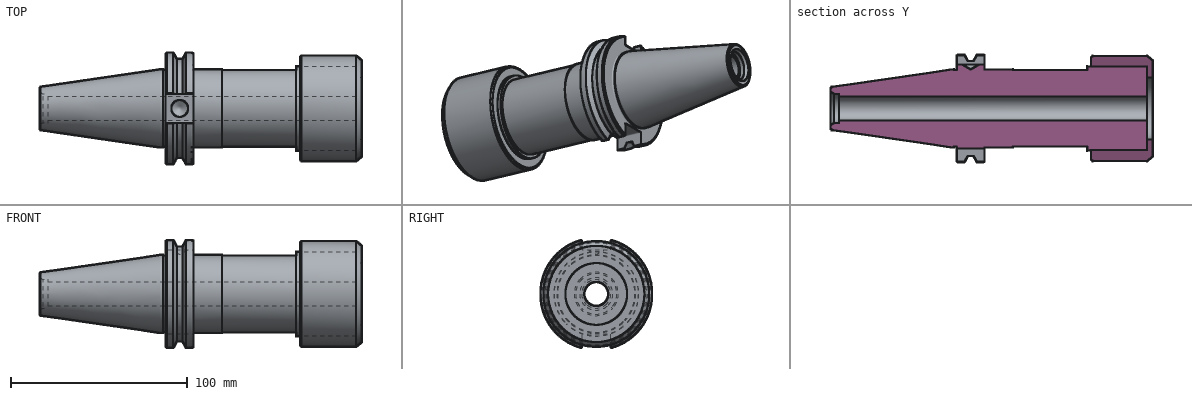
import cadquery as cq
import math


gauge_x = 68.25
gauge_diameter = 44.45
taper_ratio = 7 / 24
small_end_diameter = gauge_diameter - taper_ratio * gauge_x
small_end_chamfer = 0.7

undercut_x = gauge_x + 1.6
undercut_diameter = 43.6
undercut_fillet = 0.6

flange_x = gauge_x + 3.175
flange_end_x = gauge_x + 19.05
flange_diameter = 63.5
flange_chamfer = 0.8
flange_fillet = 1.3
groove_center_x = gauge_x + 11.1
groove_diameter = 56.4
groove_floor_width = 3.2
groove_flank_angle = 30

slot_width = 16.3
slot_edge_chamfer = 0.5
slot_floor_fillet = 0.6
upper_slot_floor_z = 25.0
lower_slot_floor_z = -22.7
dimple_diameter = 9.53
dimple_tip_angle = 120

shoulder_end_x = gauge_x + 35
body_diameter = 43.7
collar_x = 145.3
collar_diameter = 48
thread_diameter = 47.62

bore_diameter = 13.39
pilot_diameter = 16.3
pilot_depth = 4.8
mouth_diameter = 18.6
mouth_depth = 2.0

overall_length = 182.55
nut_x = 147.4
nut_diameter = 60
nut_rear_chamfer = 1.0
nut_front_chamfer_length = 3.3
nut_front_diameter = 54.5
nut_opening_diameter = 35
nut_lip_x = overall_length - nut_front_chamfer_length


def revolve_about_x(points):
    """Revolve a closed outline of (x, radius) points about the X axis."""
    return cq.Workplane("XY").polyline(points).close().revolve(360, (0, 0, 0), (1, 0, 0))


def fillet_rim(body, x, radius, fillet_radius):
    """Round the circular edge of the given radius at x."""
    reach = 0.01
    rim = body.edges(cq.selectors.BoxSelector(
        (x - reach, -reach, -reach), (x + reach, reach, reach), boundingbox=False,
    )).filter(lambda edge: abs(edge.radius() - radius) < reach)
    return rim.fillet(fillet_radius)


def make_holder_blank():
    small_end_radius = small_end_diameter / 2
    gauge_radius = gauge_diameter / 2
    taper_start_radius = small_end_radius + small_end_chamfer * taper_ratio / 2
    flange_radius = flange_diameter / 2
    return revolve_about_x([
        (0, 0),
        (0, small_end_radius - small_end_chamfer),
        (small_end_chamfer, taper_start_radius),
        (gauge_x, gauge_radius),
        (undercut_x, gauge_radius),
        (undercut_x, undercut_diameter / 2),
        (flange_x, undercut_diameter / 2),
        (flange_x, flange_radius - flange_chamfer),
        (flange_x + flange_chamfer, flange_radius),
        (flange_end_x, flange_radius),
        (flange_end_x, gauge_radius),
        (shoulder_end_x, gauge_radius),
        (shoulder_end_x, body_diameter / 2),
        (collar_x, body_diameter / 2),
        (collar_x, collar_diameter / 2),
        (nut_x, collar_diameter / 2),
        (nut_x, thread_diameter / 2),
        (nut_lip_x, thread_diameter / 2),
        (nut_lip_x, 0),
    ])


def make_flange_groove():
    groove_depth = (flange_diameter - groove_diameter) / 2
    floor_half_width = groove_floor_width / 2
    top_half_width = floor_half_width + groove_depth * math.tan(math.radians(groove_flank_angle))
    return revolve_about_x([
        (groove_center_x - floor_half_width, groove_diameter / 2),
        (groove_center_x - top_half_width, flange_diameter / 2),
        (groove_center_x + top_half_width, flange_diameter / 2),
        (groove_center_x + floor_half_width, groove_diameter / 2),
    ])


def make_drive_slot(floor_z):
    """Slot across the flange, opening outward and flared at the flange rim to break its edges."""
    side = math.copysign(1, floor_z)
    half_width = slot_width / 2
    rim_half_width = half_width + slot_edge_chamfer
    rim_z = math.sqrt((flange_diameter / 2) ** 2 - rim_half_width ** 2)
    outside_z = flange_diameter / 2
    outline = [
        (half_width, floor_z),
        (half_width, side * (rim_z - slot_edge_chamfer)),
        (rim_half_width, side * rim_z),
        (rim_half_width, side * outside_z),
    ]
    mirrored = [(-y, z) for y, z in reversed(outline)]
    return (
        cq.Workplane("YZ", origin=(flange_x, 0, 0))
        .polyline(outline + mirrored).close()
        .extrude(flange_end_x - flange_x)
        .faces("<Z" if side > 0 else ">Z").edges("|X").fillet(slot_floor_fillet)
    )


def make_dimple():
    """Conical drill point in the floor of the upper slot."""
    radius = dimple_diameter / 2
    depth = radius / math.tan(math.radians(dimple_tip_angle / 2))
    return cq.Workplane(cq.Solid.makeCone(
        radius, 0, depth,
        pnt=cq.Vector(groove_center_x, 0, upper_slot_floor_z),
        dir=cq.Vector(0, 0, -1),
    ))


def make_bore():
    """Through bore with a pilot counterbore and a countersunk mouth at the small end."""
    return revolve_about_x([
        (0, 0),
        (0, mouth_diameter / 2),
        (mouth_depth, pilot_diameter / 2),
        (pilot_depth, pilot_diameter / 2),
        (pilot_depth, bore_diameter / 2),
        (nut_lip_x, bore_diameter / 2),
        (nut_lip_x, 0),
    ])


def make_holder():
    holder = make_holder_blank()
    holder = fillet_rim(holder, flange_end_x, flange_diameter / 2, flange_fillet)
    holder = holder.cut(make_flange_groove())
    holder = fillet_rim(holder, flange_x, undercut_diameter / 2, undercut_fillet)
    for floor_z in (upper_slot_floor_z, lower_slot_floor_z):
        holder = holder.cut(make_drive_slot(floor_z))
    return holder.cut(make_dimple()).cut(make_bore())


def make_nut():
    """Clamping nut around the threaded nose, with an inward lip at the front."""
    nut_radius = nut_diameter / 2
    return revolve_about_x([
        (nut_x, thread_diameter / 2),
        (nut_x, nut_radius - nut_rear_chamfer),
        (nut_x + nut_rear_chamfer, nut_radius),
        (overall_length - nut_front_chamfer_length, nut_radius),
        (overall_length, nut_front_diameter / 2),
        (overall_length, nut_opening_diameter / 2),
        (nut_lip_x, nut_opening_diameter / 2),
        (nut_lip_x, thread_diameter / 2),
    ])


holder = make_holder()
nut = make_nut()

result = cq.Compound.makeCompound([holder.val(), nut.val()])